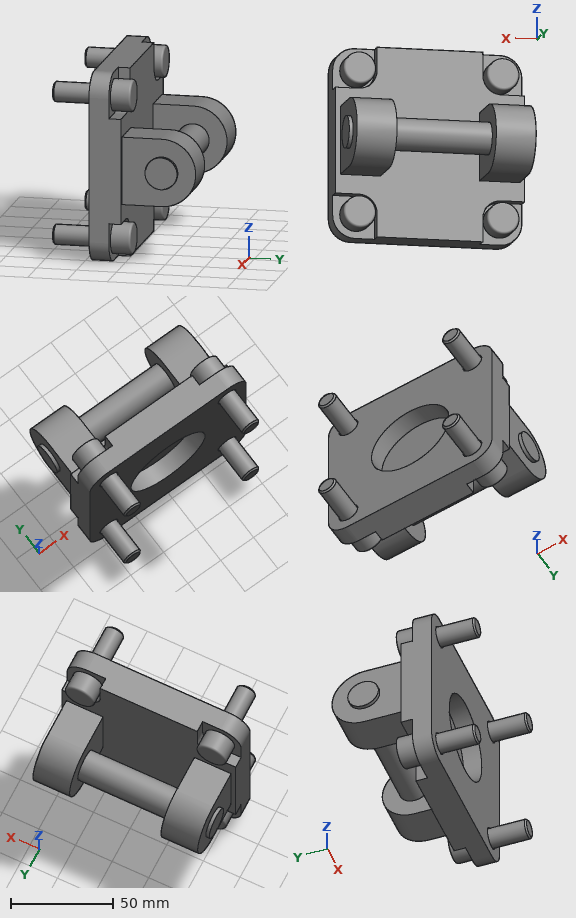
import cadquery as cq

plate_size = 95
plate_thickness = 16.0
plate_corner_radius = 11.0

recess_diameter = 45.0
recess_depth = 9.5

screw_spacing = 72.0
shank_diameter = 10.1
shank_projection = 19.95
shank_hole_diameter = 10.9
head_diameter = 16.0
head_height = 10.1
shank_chamfer = 0.9
head_fillet = 1.0
pocket_floor = 10.0
pocket_radius = 9.5

ear_width = 20.0
ear_outer_span = 90.0
ear_radius = 17.0
pin_diameter = 16.1
pin_length = 93.8
total_depth = 73.0

clevis_reach = total_depth - shank_projection
pin_center_y = clevis_reach - ear_radius
screw_offset = screw_spacing / 2


def cylinder_along_y(diameter, y_start, y_end):
    return (
        cq.Workplane("XZ", origin=(0, y_start, 0))
        .circle(diameter / 2)
        .extrude(y_start - y_end)
    )


def make_plate():
    plate = (
        cq.Workplane("XZ")
        .rect(plate_size, plate_size)
        .extrude(-plate_thickness)
        .edges("|Y")
        .fillet(plate_corner_radius)
    )
    return plate.cut(cylinder_along_y(recess_diameter, 0, recess_depth))


def make_head_pocket():
    """Pocket around the +X +Z screw, open to both plate sides, rounded about the screw."""
    inner_edge = screw_offset - pocket_radius
    pocket_size = plate_size / 2 - inner_edge
    pocket_center = inner_edge + pocket_size / 2
    return (
        cq.Workplane("XZ", origin=(0, pocket_floor, 0))
        .center(pocket_center, pocket_center)
        .rect(pocket_size, pocket_size)
        .extrude(pocket_floor - plate_thickness)
        .edges("|Y and <X and <Z")
        .fillet(pocket_radius)
    )


def make_shank_hole():
    hole = cylinder_along_y(shank_hole_diameter, 0, pocket_floor)
    return hole.translate((screw_offset, 0, screw_offset))


def make_screw():
    shank = cylinder_along_y(shank_diameter, -shank_projection, pocket_floor)
    shank = shank.faces("<Y").chamfer(shank_chamfer)
    head = cylinder_along_y(head_diameter, pocket_floor, pocket_floor + head_height)
    head = head.faces(">Y").edges().fillet(head_fillet)
    return shank.union(head).translate((screw_offset, 0, screw_offset))


def make_ear(x_start):
    return (
        cq.Workplane("YZ", origin=(x_start, 0, 0))
        .moveTo(plate_thickness, -ear_radius)
        .lineTo(pin_center_y, -ear_radius)
        .threePointArc((clevis_reach, 0), (pin_center_y, ear_radius))
        .lineTo(plate_thickness, ear_radius)
        .close()
        .extrude(ear_width)
    )


def make_pin():
    return (
        cq.Workplane("YZ", origin=(-pin_length / 2, pin_center_y, 0))
        .circle(pin_diameter / 2)
        .extrude(pin_length)
    )


result = make_plate()

for x_start in (-ear_outer_span / 2, ear_outer_span / 2 - ear_width):
    result = result.union(make_ear(x_start))
result = result.union(make_pin())

head_pocket = make_head_pocket()
shank_hole = make_shank_hole()
screw = make_screw()
y_axis = ((0, 0, 0), (0, 1, 0))
for quarter_turn in range(4):
    angle = 90 * quarter_turn
    result = result.cut(head_pocket.rotate(*y_axis, angle))
    result = result.cut(shank_hole.rotate(*y_axis, angle))
    result = result.union(screw.rotate(*y_axis, angle))